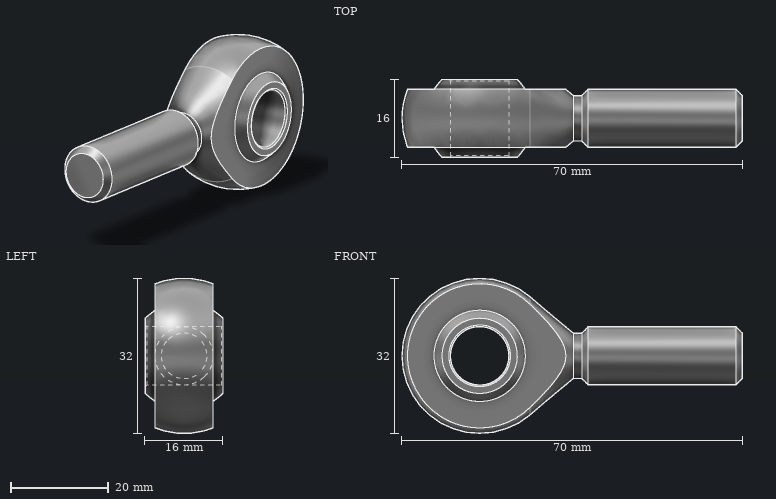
import cadquery as cq
import math

total_length = 70.0
eye_radius = 15.995
eye_width = 12.0
ball_width = 16.0
ball_face_diameter = 15.5
bore_diameter = 12.0
bore_chamfer = 0.35
shank_diameter = 12.0
neck_diameter = 9.4
neck_start = 19.25
neck_end = 21.0

shank_radius = shank_diameter / 2
neck_radius = neck_diameter / 2
shank_chamfer = shank_radius - neck_radius
shank_end = total_length - eye_radius
ball_radius = math.hypot(ball_face_diameter / 2, ball_width / 2)

neck_edge_angle = math.atan2(neck_radius, neck_start)
neck_edge_distance = math.hypot(neck_start, neck_radius)
tangent_angle = neck_edge_angle + math.acos(eye_radius / neck_edge_distance)


def on_eye(angle):
    """Point on the eye profile at an angle from the shank axis."""
    return (eye_radius * math.cos(angle), eye_radius * math.sin(angle))


def slab(width):
    """Block centred on the eye that limits a body to a width along Y."""
    return cq.Workplane("XY").box(2 * total_length, width, 2 * total_length)


def make_body():
    """Eye, cone, neck and shank turned about X, with flat eye sides."""
    profile = (
        cq.Workplane("XY")
        .moveTo(-eye_radius, 0)
        .threePointArc(on_eye((math.pi + tangent_angle) / 2), on_eye(tangent_angle))
        .lineTo(neck_start, neck_radius)
        .lineTo(neck_end, neck_radius)
        .lineTo(neck_end + shank_chamfer, shank_radius)
        .lineTo(shank_end - shank_chamfer, shank_radius)
        .lineTo(shank_end, neck_radius)
        .lineTo(shank_end, 0)
        .close()
    )
    turned = profile.revolve(360, (0, 0, 0), (1, 0, 0))
    return turned.intersect(slab(eye_width))


def make_ball():
    """Spherical bearing ball with a flat face on each side."""
    return cq.Workplane("XY").sphere(ball_radius).intersect(slab(ball_width))


def make_bore():
    """Through bore along Y, with a chamfer at both ball faces."""
    bore_radius = bore_diameter / 2
    mouth_radius = bore_radius + bore_chamfer
    half_width = ball_width / 2
    chamfer_start = half_width - bore_chamfer
    return (
        cq.Workplane("XY")
        .moveTo(0, -half_width)
        .lineTo(mouth_radius, -half_width)
        .lineTo(bore_radius, -chamfer_start)
        .lineTo(bore_radius, chamfer_start)
        .lineTo(mouth_radius, half_width)
        .lineTo(0, half_width)
        .close()
        .revolve(360, (0, 0, 0), (0, 1, 0))
    )


result = make_body().union(make_ball()).cut(make_bore())